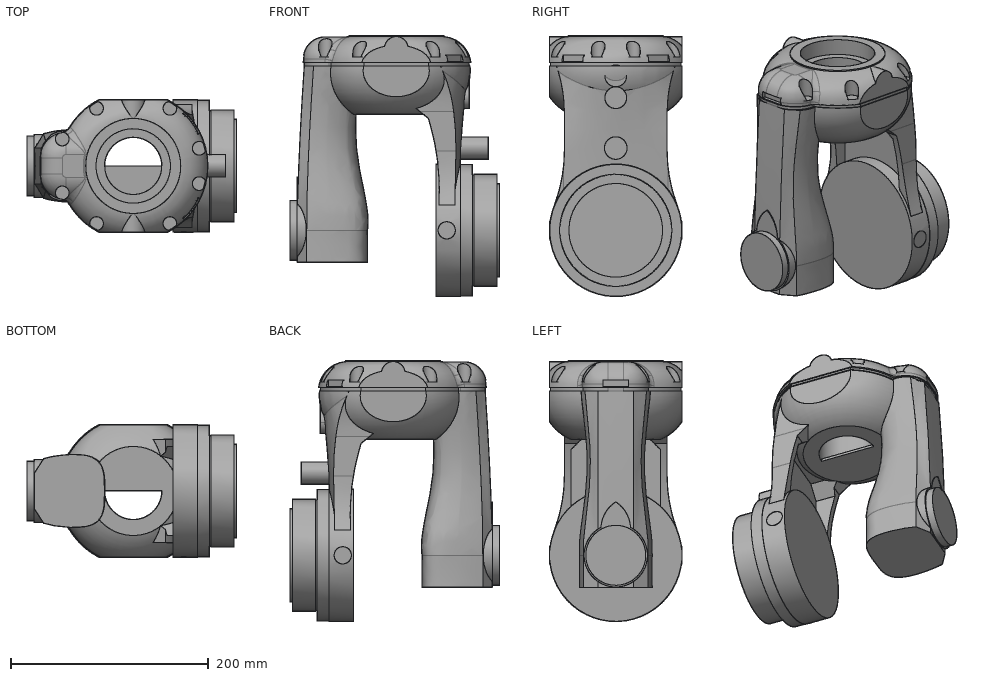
import cadquery as cq
import math


FLAT_Y = 67.0
SEAM_LOW = 166.2
SEAM_HIGH = 169.5
SEAM_INSET = 1.0
BODY_R = 74.6
BODY_BOTTOM = 117.0
BODY_FLOOR_R = 45.0
BELLY_R, BELLY_Z = 67.0, 135.0

CAP_R = 75.5
CAP_TOP = 195.7
DOME_SHOULDER_R, DOME_SHOULDER_Z = 69.7, 183.8
RING_R = 48.0
RING_TOP = 197.0
BORE_R = 28.8
COUNTERBORE_R = 37.6
COUNTERBORE_DEPTH = 16.0
BORE_FLOOR_THICKNESS = 3.0

RIDGE_R = 12.0
RIDGE_INNER_Y = 48.0

SCREW_R = 6.9
SCREW_SEAT_Z = 175.0
SCREW_CIRCLE_R = 69.0
SCREW_ANGLES = (15.0, 57.5, 122.5)
NOSE_SCREW = (-71.7, 27.2)

NOSE_X = -94.0
NOSE_HALF_Y = 34.0
NOSE_TOP = 195.5
NOSE_CORNER_R = 26.0
NOSE_EDGE_R = 22.5
NOSE_BLEND_R = 10.0

NOTCH_HEIGHT = 6.5
NOTCH_Z = 170.5
NOTCH_LENGTH = 26.0
NOTCH_DEPTH = 4.0
DOME_NOTCH_ANGLE = (SCREW_ANGLES[0] + SCREW_ANGLES[1]) / 2

LEG_SECTIONS = (
    (0.0, -99.9, -29.0, 36.8, 0.82),
    (47.0, -99.2, -34.0, 32.5, 0.76),
    (83.0, -97.8, -40.0, 29.0, 0.72),
    (118.0, -96.0, -40.5, 30.0, 0.72),
    (SEAM_LOW, -93.0, -40.0, 35.0, 0.72),
)
LEG_BOTTOM = -32.5
LEG_FACE_HALF_Y = 18.0
LEG_CORNER_X = 9.5
LEG_CORNER_RATIO = 0.89

PLUG_X = -107.5
PLUG_R = 30.3
BOSS_R = 32.0
BOSS_FACE_X = -100.0
BOSS_END_X = -85.0
SPIKE_TOP_Z = 54.0
SPIKE_HALF_Y = 15.0
SPIKE_BASE_Z = 27.0
SPIKE_BULGE_Y, SPIKE_BULGE_Z = 10.5, 43.0

FLANGE_R = 67.0
FLANGE_STEPS = (
    (40.0, 65.0, FLANGE_R),
    (65.0, 77.0, 66.6),
    (77.0, 78.5, 56.0),
    (78.5, 102.0, 56.7),
    (102.0, 104.5, 47.3),
)
SIDE_PLUG_X = 51.0
SIDE_PLUG_R = 8.7

ARM_HALF_Y = 52.0
ARM_FOOT_HALF_Y = 62.0
ARM_ROOT_HALF_Y = 60.0
ARM_BACK = (
    (25.5, 59.5, ARM_HALF_Y, 64.0),
    (86.0, 60.2, ARM_HALF_Y, 65.5),
    (120.0, 58.0, ARM_HALF_Y, 68.0),
    (SEAM_LOW, 44.5, ARM_ROOT_HALF_Y, 74.0),
)
ARM_BOTTOM = ARM_BACK[0][0]
ARM_FLARE_Z = 80.0
ARM_ROOT_Z = 120.0
ARM_INNER_EDGE = ((43.0, ARM_BOTTOM), (39.0, 87.0), (32.4, 113.0))
ARM_BRACKET = (19.0, 124.0)
WEB_X = 55.0
RECESS_HALF_Y = 45.0
RECESS_TOP = 120.0
RECESS_CHAMFER = 13.0

PIN_R = 11.4
PIN_Z = 83.1
PIN_END_X = 93.0
PORT_R = 11.0
PORT_END_X = 73.8
PORT_HEIGHTS = (134.0, 156.0)


def cylinder_x(start, end, radius, z=0.0):
    return cq.Workplane("YZ", origin=(start, 0, z)).circle(radius).extrude(end - start)


def cylinder_z(x, y, radius, bottom, top):
    return cq.Workplane("XY", origin=(x, y, bottom)).circle(radius).extrude(top - bottom)


def revolve_z(profile):
    return profile.close().revolve(360, (0, 0, 0), (0, 1, 0))


def between_flats(shape, half_width):
    slab = cq.Workplane("XY").box(4 * BODY_R, 2 * half_width, 4 * CAP_TOP)
    return shape.intersect(slab)


def make_body():
    profile = (
        cq.Workplane("XZ")
        .moveTo(0, BODY_BOTTOM)
        .lineTo(BODY_FLOOR_R, BODY_BOTTOM)
        .threePointArc((BELLY_R, BELLY_Z), (BODY_R, SEAM_LOW))
        .lineTo(0, SEAM_LOW)
    )
    seam = cylinder_z(0, 0, BODY_R - SEAM_INSET, SEAM_LOW, SEAM_HIGH)
    return between_flats(revolve_z(profile), FLAT_Y).union(between_flats(seam, FLAT_Y - SEAM_INSET))


def make_dome():
    profile = (
        cq.Workplane("XZ")
        .moveTo(0, SEAM_HIGH)
        .lineTo(CAP_R, SEAM_HIGH)
        .threePointArc((DOME_SHOULDER_R, DOME_SHOULDER_Z), (RING_R, CAP_TOP))
        .lineTo(0, CAP_TOP)
    )
    return between_flats(revolve_z(profile), FLAT_Y)


def make_nose():
    block = (
        cq.Workplane("XY", origin=(0, 0, SEAM_HIGH))
        .moveTo(NOSE_X / 2, 0)
        .rect(-NOSE_X, 2 * NOSE_HALF_Y)
        .extrude(NOSE_TOP - SEAM_HIGH)
        .edges("|Z and <X").fillet(NOSE_CORNER_R)
    )
    block = block.faces(">Z").edges("not >X").fillet(NOSE_EDGE_R)
    joint = (
        cq.Workplane("XY", origin=(0, 0, SEAM_LOW))
        .moveTo((NOSE_X + SEAM_INSET) / 2, 0)
        .rect(-NOSE_X - SEAM_INSET, 2 * (NOSE_HALF_Y - SEAM_INSET))
        .extrude(SEAM_HIGH - SEAM_LOW)
        .edges("|Z and <X").fillet(NOSE_CORNER_R - SEAM_INSET)
    )
    return block.union(joint)


def make_ridge(side):
    length = FLAT_Y - RIDGE_INNER_Y
    middle_y = side * (RIDGE_INNER_Y + length / 2)
    axis_z = CAP_TOP - RIDGE_R
    return (
        cq.Workplane("XZ", origin=(0, middle_y, axis_z))
        .circle(RIDGE_R)
        .extrude(length / 2, both=True)
    )


def cut_screws(shape):
    points = [NOSE_SCREW]
    for angle in SCREW_ANGLES:
        turn = math.radians(angle)
        points.append((SCREW_CIRCLE_R * math.cos(turn), SCREW_CIRCLE_R * math.sin(turn)))
    for x, y in points:
        for side in (1, -1):
            shape = shape.cut(cylinder_z(x, side * y, SCREW_R, SCREW_SEAT_Z, RING_TOP))
    return shape


def notch_cutter(face_distance, angle):
    return (
        cq.Workplane("XY")
        .box(2 * NOTCH_DEPTH, NOTCH_LENGTH, NOTCH_HEIGHT, centered=(True, True, False))
        .translate((face_distance, 0, NOTCH_Z))
        .rotate((0, 0, 0), (0, 0, 1), angle)
    )


def cut_notches(shape):
    shape = shape.cut(notch_cutter(-NOSE_X, 180))
    for angle in (DOME_NOTCH_ANGLE, -DOME_NOTCH_ANGLE):
        shape = shape.cut(notch_cutter(CAP_R, angle))
    return shape


def cut_bore(shape):
    shape = shape.union(cylinder_z(0, 0, RING_R, SEAM_HIGH, RING_TOP))
    shape = shape.cut(cylinder_z(0, 0, BORE_R, 0, RING_TOP))
    shape = shape.cut(cylinder_z(0, 0, COUNTERBORE_R, RING_TOP - COUNTERBORE_DEPTH, RING_TOP))
    half_floor = (
        cq.Workplane("XY", origin=(0, 0, BODY_BOTTOM))
        .moveTo(-BODY_FLOOR_R, 0)
        .threePointArc((0, -BODY_FLOOR_R), (BODY_FLOOR_R, 0))
        .close()
        .extrude(BORE_FLOOR_THICKNESS)
    )
    return shape.union(half_floor)


def leg_wire(z, outer_x, inner_x, half_y, fullness):
    """Flat outer face, slanted corners and a rounded inner side."""
    middle_x = (outer_x + inner_x) / 2
    reach = (inner_x - middle_x) * fullness
    shoulder = half_y * fullness
    corner_x = outer_x + LEG_CORNER_X
    corner_y = half_y * LEG_CORNER_RATIO
    around = [
        (middle_x, half_y),
        (middle_x + reach, shoulder),
        (inner_x, 0),
        (middle_x + reach, -shoulder),
        (middle_x, -half_y),
        (corner_x, -corner_y),
    ]
    return (
        cq.Workplane("XY", origin=(0, 0, z))
        .moveTo(outer_x, -LEG_FACE_HALF_Y)
        .lineTo(outer_x, LEG_FACE_HALF_Y)
        .lineTo(corner_x, corner_y)
        .spline(around, includeCurrent=True)
        .close()
    )


def make_leg():
    wires = [leg_wire(*section).val() for section in LEG_SECTIONS]
    upper = cq.Workplane(cq.Solid.makeLoft(wires))
    foot = leg_wire(*LEG_SECTIONS[0]).extrude(LEG_BOTTOM)
    return upper.union(foot)


def make_leg_boss():
    boss = cylinder_x(BOSS_FACE_X, BOSS_END_X, BOSS_R)
    plug = cylinder_x(PLUG_X, BOSS_FACE_X, PLUG_R)
    spike = (
        cq.Workplane("YZ", origin=(BOSS_FACE_X, 0, 0))
        .moveTo(-SPIKE_HALF_Y, 0)
        .lineTo(-SPIKE_HALF_Y, SPIKE_BASE_Z)
        .threePointArc((-SPIKE_BULGE_Y, SPIKE_BULGE_Z), (0, SPIKE_TOP_Z))
        .threePointArc((SPIKE_BULGE_Y, SPIKE_BULGE_Z), (SPIKE_HALF_Y, SPIKE_BASE_Z))
        .lineTo(SPIKE_HALF_Y, 0)
        .close()
        .extrude(BOSS_END_X - BOSS_FACE_X)
    )
    return boss.union(plug).union(spike)


def make_flange():
    flange = cylinder_x(*FLANGE_STEPS[0])
    for step in FLANGE_STEPS[1:]:
        flange = flange.union(cylinder_x(*step))
    side_plug = (
        cq.Workplane("XZ", origin=(SIDE_PLUG_X, 0, 0))
        .circle(SIDE_PLUG_R)
        .extrude(FLANGE_R, both=True)
    )
    return flange.union(side_plug)


def arm_back_wire(z, corner_x, corner_y, centre_x):
    """Plan section of the arm: straight sides and an arched back."""
    return (
        cq.Workplane("XY", origin=(0, 0, z))
        .moveTo(0, -ARM_FOOT_HALF_Y)
        .lineTo(corner_x, -ARM_FOOT_HALF_Y)
        .lineTo(corner_x, -corner_y)
        .threePointArc((centre_x, 0), (corner_x, corner_y))
        .lineTo(corner_x, ARM_FOOT_HALF_Y)
        .lineTo(0, ARM_FOOT_HALF_Y)
        .close()
    )


def make_arm():
    arm = cq.Workplane(cq.Solid.makeLoft([arm_back_wire(*section).val() for section in ARM_BACK]))
    foot_edge, mid_edge, top_edge = ARM_INNER_EDGE
    side_outline = (
        cq.Workplane("XZ")
        .moveTo(*foot_edge)
        .threePointArc(mid_edge, top_edge)
        .lineTo(*ARM_BRACKET)
        .lineTo(ARM_BRACKET[0], SEAM_LOW)
        .lineTo(CAP_R, SEAM_LOW)
        .lineTo(CAP_R, ARM_BOTTOM)
        .close()
        .extrude(ARM_FOOT_HALF_Y, both=True)
    )
    root_mid = (ARM_HALF_Y + (ARM_ROOT_HALF_Y - ARM_HALF_Y) / 4, (ARM_ROOT_Z + SEAM_LOW) / 2)
    front_outline = (
        cq.Workplane("YZ")
        .moveTo(0, SEAM_LOW)
        .lineTo(ARM_ROOT_HALF_Y, SEAM_LOW)
        .threePointArc(root_mid, (ARM_HALF_Y, ARM_ROOT_Z))
        .lineTo(ARM_HALF_Y, ARM_FLARE_Z)
        .tangentArcPoint((ARM_FOOT_HALF_Y, ARM_BOTTOM), relative=False)
        .lineTo(0, ARM_BOTTOM)
        .mirrorY()
        .extrude(CAP_R)
    )
    recess = (
        cq.Workplane("YZ")
        .rect(2 * RECESS_HALF_Y, 2 * RECESS_TOP)
        .extrude(WEB_X)
        .edges("|X and >Z").chamfer(RECESS_CHAMFER)
    )
    return arm.intersect(side_outline).intersect(front_outline).cut(recess)


def make_arm_fittings():
    fittings = cylinder_x(WEB_X, PIN_END_X, PIN_R, PIN_Z)
    for height in PORT_HEIGHTS:
        fittings = fittings.union(cylinder_x(WEB_X, PORT_END_X, PORT_R, height))
    return fittings


def make_cap():
    cap = make_dome().union(make_nose())
    blend_zone = cq.selectors.BoxSelector(
        (-CAP_R, -CAP_R, SEAM_HIGH),
        (-RING_R, CAP_R, NOSE_TOP),
    )
    cap = cap.edges(blend_zone).edges("%BSPLINE").fillet(NOSE_BLEND_R)
    for side in (1, -1):
        cap = cap.union(make_ridge(side))
    return cut_notches(cut_screws(cap))


result = make_body()
for piece in (make_cap(), make_leg(), make_leg_boss(), make_arm(), make_arm_fittings(), make_flange()):
    result = result.union(piece)
result = cut_bore(result)